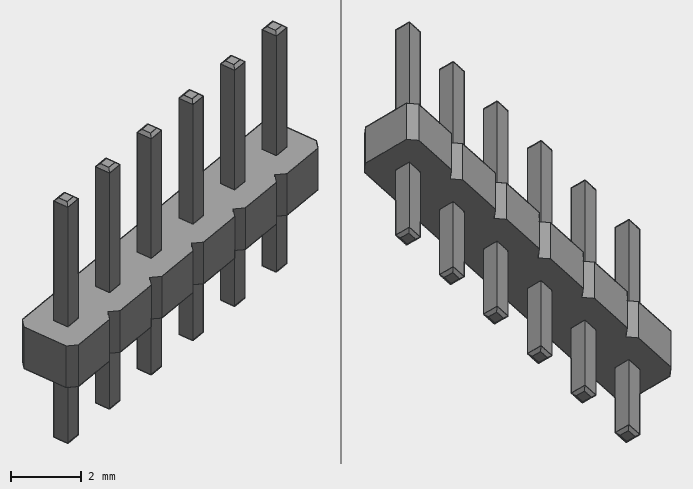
import cadquery as cq

pin_count = 6
row_length = 12.0
pitch = row_length / pin_count

body_width = pitch
body_height = 1.5
corner_cut = 0.25

pin_side = 0.5
pin_above_body = 4.4
pin_below_body = 2.8
pin_length = pin_below_body + body_height + pin_above_body
tip_cut = 0.1


def cell_body(center_y):
    """One block of the body, with its four vertical corners cut at 45 degrees."""
    return (
        cq.Workplane("XY")
        .center(0, center_y)
        .rect(body_width, pitch)
        .extrude(body_height)
        .edges("|Z")
        .chamfer(corner_cut)
    )


def pin(center_y):
    """One square pin, with its edges cut at 45 degrees around both ends."""
    return (
        cq.Workplane("XY", origin=(0, center_y, -pin_below_body))
        .rect(pin_side, pin_side)
        .extrude(pin_length)
        .faces("<Z")
        .chamfer(tip_cut)
        .faces(">Z")
        .chamfer(tip_cut)
    )


result = cq.Workplane("XY")
for index in range(pin_count):
    cell_center = (index - (pin_count - 1) / 2) * pitch
    result = result.union(cell_body(cell_center)).union(pin(cell_center))